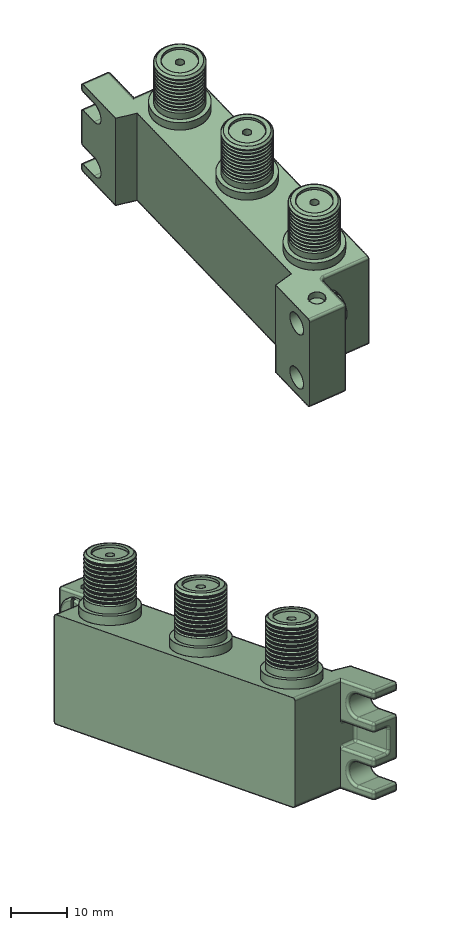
import cadquery as cq

length = 74.5
depth = 17.9
height = 21.15
body_left = 8.1
body_right = length - body_left
left_ear_depth = 5.9
right_ear_depth = 7.9
recess_depth = 3.95
recess_left = 11.1
recess_right = length - recess_left
recess_run = 1.0
round_radius = 0.5

opening_inset = 4.0
opening_levels = (opening_inset, height - opening_inset)
opening_radius = 2.2
slot_center_x = 4.1
hole_x = 70.25
blind_hole_depth = 3.7
pocket_floor = 2.0
pocket_width = 4.9

screw_radius = 3.05
screw_head_height = 1.05
screw_round = 0.45
screw_groove_width = 0.6
screw_groove_depth = 0.5
wire_hole_radius = 1.6
wire_hole_depth = 1.4
wire_hole_y = 4.3

connector_pitch = 22.0
connector_y = 10.95
connector_height = 11.85
flange_radius = 5.6
flange_height = 1.8
neck_radius = 4.7
neck_top = 3.3
root_radius = 4.4
thread_count = 10
thread_flat = 0.185
tip_bevel = 0.45
cup_radius = 3.35
cup_depth = 0.5
pin_hole_radius = 0.8
pin_hole_depth = 3.0


def box_between(x_range, y_range, z_range):
    """Axis-aligned box spanning the given ranges."""
    lows, highs = zip(x_range, y_range, z_range)
    sizes = [high - low for low, high in zip(lows, highs)]
    return cq.Workplane("XY").box(*sizes, centered=False).translate(lows)


def edges_in(part, x_range, y_range):
    """Housing edges lying wholly inside the given ranges, at any height."""
    margin = 0.01
    lows, highs = zip(x_range, y_range, (0, height))
    selector = cq.selectors.BoxSelector(
        [low - margin for low in lows],
        [high + margin for high in highs],
        boundingbox=True,
    )
    return part.edges(selector)


def make_blank():
    """Housing outline in plan, raised to full height."""
    outline = [
        (0, 0),
        (recess_left, 0),
        (recess_left + recess_run, recess_depth),
        (recess_right - recess_run, recess_depth),
        (recess_right, 0),
        (length, 0),
        (length, right_ear_depth),
        (body_right, right_ear_depth),
        (body_right, depth),
        (body_left, depth),
        (body_left, left_ear_depth),
        (0, left_ear_depth),
    ]
    return cq.Workplane("XY").polyline(outline).close().extrude(height)


def cut_slots(part):
    """Open mounting slots through the left ear."""
    for level in opening_levels:
        mouth = box_between(
            (0, slot_center_x), (0, left_ear_depth), (level - opening_radius, level + opening_radius)
        )
        end = (
            cq.Workplane("XZ", origin=(slot_center_x, 0, level))
            .circle(opening_radius)
            .extrude(-left_ear_depth)
        )
        part = part.cut(mouth.union(end))
    return part


def cut_pocket(part):
    """Pocket in the back of the left ear, open at its end, with rounded corners."""
    half = pocket_width / 2
    pocket = box_between(
        (0, body_left), (pocket_floor, left_ear_depth), (height / 2 - half, height / 2 + half)
    )
    return part.cut(pocket.edges("|X and <Y").fillet(round_radius))


def round_left_end(part):
    """Round the end, back rim and pocket base of the left ear, and the body's left side."""
    whole_ear = (0, left_ear_depth)
    pocket = (pocket_floor, left_ear_depth)
    back = (left_ear_depth, left_ear_depth)
    body_side = (body_left, body_left)
    rounded = edges_in(part, (0, 0), whole_ear).edges("|Y")
    rounded = rounded.add(edges_in(part, (0, 0), pocket))
    rounded = rounded.add(edges_in(part, (0, body_left), back).edges("not (|Z and >X)"))
    rounded = rounded.add(edges_in(part, body_side, pocket).edges("not (|Z and >Y)"))
    rounded = rounded.add(edges_in(part, body_side, (left_ear_depth, depth)).edges("|Y"))
    return rounded.fillet(round_radius)


def round_right_end(part):
    """Round the corner between body and right ear, then the ear's end and back rim."""
    corner = (body_right, body_right)
    back = (right_ear_depth, right_ear_depth)
    part = edges_in(part, corner, back).fillet(round_radius)
    rounded = edges_in(part, (length, length), back)
    rounded = rounded.add(edges_in(part, (length, length), (0, right_ear_depth)).edges("|Y"))
    rounded = rounded.add(edges_in(part, (body_right, length), (right_ear_depth, depth)).edges("not |Z"))
    return rounded.fillet(round_radius)


def cut_right_ear_holes(part):
    """Lower mounting hole goes through; the upper one is stopped by the screw."""
    low_level, high_level = opening_levels
    for level, hole_depth in ((low_level, right_ear_depth), (high_level, blind_hole_depth)):
        hole = cq.Workplane("XZ", origin=(hole_x, 0, level)).circle(opening_radius).extrude(-hole_depth)
        part = part.cut(hole)
    wire_hole = (
        cq.Workplane("XY", origin=(hole_x, wire_hole_y, height))
        .circle(wire_hole_radius)
        .extrude(-wire_hole_depth)
    )
    return part.cut(wire_hole)


def make_screw():
    """Slotted screw head seated on the back of the right ear."""
    level = opening_levels[1]
    top = right_ear_depth + screw_head_height
    head = (
        cq.Workplane("XZ", origin=(hole_x, right_ear_depth, level))
        .circle(screw_radius)
        .extrude(-screw_head_height)
        .faces(">Y")
        .edges()
        .fillet(screw_round)
    )
    groove = box_between(
        (hole_x - screw_groove_width / 2, hole_x + screw_groove_width / 2),
        (top - screw_groove_depth, top),
        (level - screw_radius, level + screw_radius),
    )
    return head.cut(groove)


def make_connector():
    """Threaded connector standing on z = 0, turned about the Z axis."""
    thread_top = connector_height - tip_bevel
    pitch = (thread_top - neck_top) / thread_count
    profile = [
        (0, 0),
        (flange_radius, 0),
        (flange_radius, flange_height),
        (neck_radius, flange_height),
        (neck_radius, neck_top),
    ]
    for turn in range(thread_count):
        next_crest = neck_top + (turn + 1) * pitch
        root = next_crest - (pitch + thread_flat) / 2
        profile += [
            (root_radius, root - thread_flat / 2),
            (root_radius, root + thread_flat / 2),
            (neck_radius, next_crest - thread_flat),
            (neck_radius, next_crest),
        ]
    profile += [
        (neck_radius - tip_bevel, connector_height),
        (cup_radius, connector_height),
        (cup_radius, connector_height - cup_depth),
        (pin_hole_radius, connector_height - cup_depth),
        (pin_hole_radius, connector_height - cup_depth - pin_hole_depth),
        (0, connector_height - cup_depth - pin_hole_depth),
    ]
    return cq.Workplane("XZ").polyline(profile).close().revolve(360, (0, 0), (0, 1))


result = make_blank()
result = cut_slots(result)
result = cut_pocket(result)
result = round_left_end(result)
result = round_right_end(result)
result = cut_right_ear_holes(result)
result = result.union(make_screw())
connector = make_connector()
for step in (-1, 0, 1):
    connector_x = length / 2 + step * connector_pitch
    result = result.union(connector.translate((connector_x, connector_y, height)))